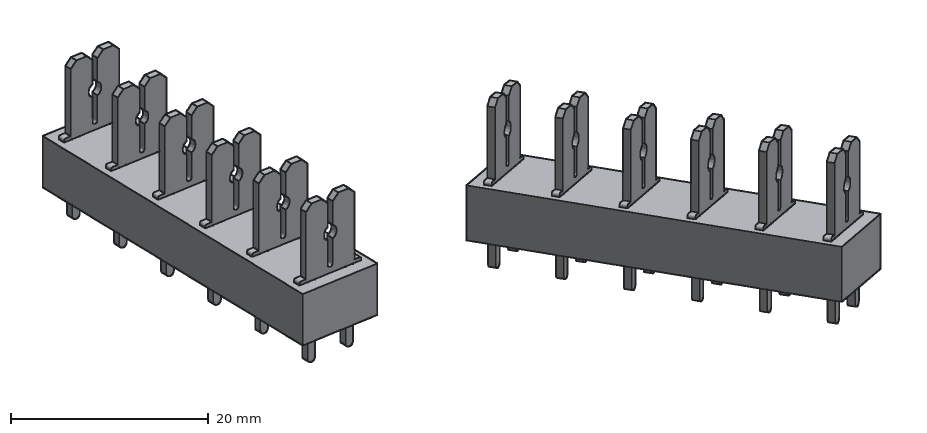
import cadquery as cq

housing_length = 41.5
housing_width = 9.8
housing_height = 6.0

terminal_count = 6
terminal_end_margin = 2.0
terminal_thickness = 0.87
terminal_pitch = (housing_length - 2 * terminal_end_margin) / (terminal_count - 1)

blade_height = 9.0
blade_width = 6.4
tine_chamfer = 0.75
slot_width = 0.62
slot_floor_height = 0.7
eye_diameter = 1.65
eye_height = 4.7

shoulder_width = 8.15
shoulder_height = 0.4
shoulder_radius = 0.25

leg_width = 1.0
leg_spacing = 5.0
leg_projection = 3.5

housing_top = housing_height
slot_floor = housing_top + slot_floor_height
leg_bottom = -leg_projection
blade_top = housing_top + blade_height

leg_centers = [-leg_spacing / 2, leg_spacing / 2]
terminal_positions = [
    (index - (terminal_count - 1) / 2) * terminal_pitch for index in range(terminal_count)
]


def plate(x, y, width, bottom, top):
    """Flat piece of terminal stock, centred on (x, y) and standing from bottom to top."""
    return (
        cq.Workplane("XY", origin=(x, y, bottom))
        .rect(terminal_thickness, width)
        .extrude(top - bottom)
    )


def round_bottom_plate(x, y, width, bottom, top):
    """Plate of terminal stock whose lower end is a full half circle."""
    half_width = width / 2
    arc_center = bottom + half_width
    return (
        cq.Workplane("YZ", origin=(x, y, 0))
        .moveTo(-half_width, top)
        .lineTo(-half_width, arc_center)
        .threePointArc((0, bottom), (half_width, arc_center))
        .lineTo(half_width, top)
        .close()
        .extrude(terminal_thickness / 2, both=True)
    )


def make_eye(x):
    """Round opening across the slot, as deep as the terminal is thick."""
    return (
        cq.Workplane("YZ", origin=(x, 0, housing_top + eye_height))
        .circle(eye_diameter / 2)
        .extrude(terminal_thickness / 2, both=True)
    )


def make_blade(x):
    """Two tines with chamfered tips, split by a round-bottomed slot with an eye."""
    blade = plate(x, 0, blade_width, housing_top, blade_top)
    blade = blade.cut(round_bottom_plate(x, 0, slot_width, slot_floor, blade_top))
    blade = blade.faces(">Z").edges("|X").chamfer(tine_chamfer)
    return blade.cut(make_eye(x))


def make_shoulder(x):
    """Low bar on the housing with rounded upper ends."""
    shoulder = plate(x, 0, shoulder_width, housing_top, housing_top + shoulder_height)
    return shoulder.faces(">Z").edges("|X").fillet(shoulder_radius)


def make_leg(x, y):
    """Straight leg with a fully rounded tip."""
    return round_bottom_plate(x, y, leg_width, leg_bottom, housing_top)


def make_terminal(x):
    """One terminal: blade, shoulder and two legs in a single piece."""
    terminal = make_blade(x).union(make_shoulder(x))
    for y in leg_centers:
        terminal = terminal.union(make_leg(x, y))
    return terminal


def make_housing():
    """Plain block with a through slot for every leg."""
    block = cq.Workplane("XY").box(
        housing_length, housing_width, housing_height, centered=(True, True, False)
    )
    for x in terminal_positions:
        for y in leg_centers:
            block = block.cut(plate(x, y, leg_width, 0, housing_top))
    return block


housing = make_housing()
terminals = [make_terminal(x) for x in terminal_positions]

result = cq.Compound.makeCompound([housing.val(), *[terminal.val() for terminal in terminals]])